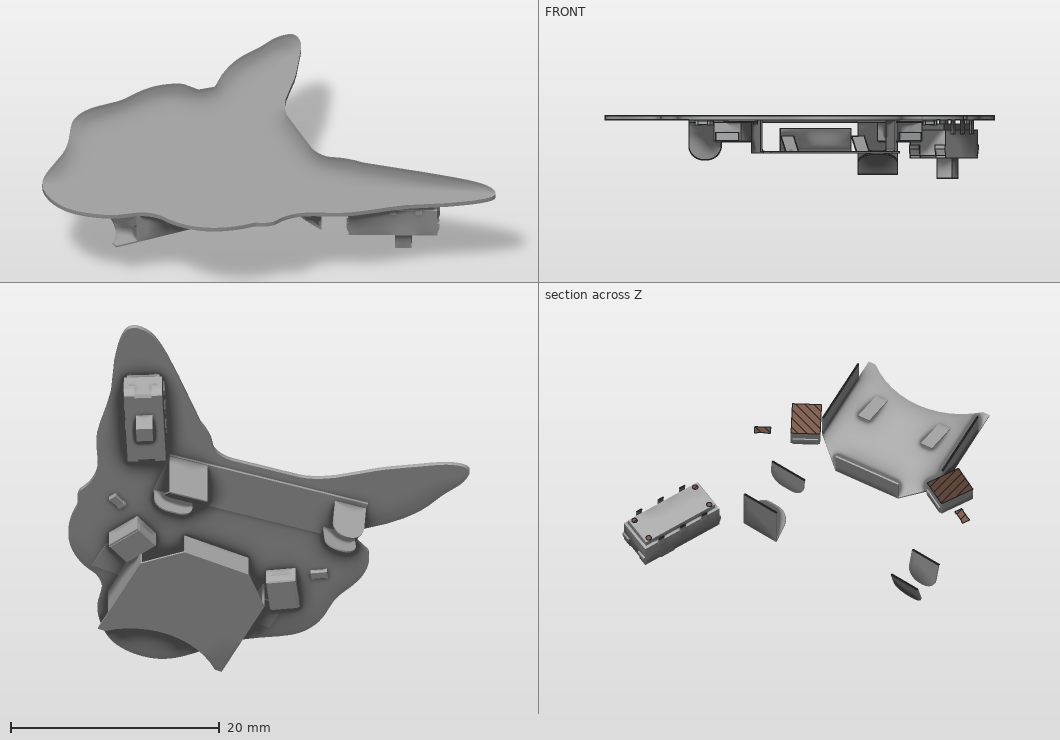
import cadquery as cq
import math

BOARD_THICKNESS = 0.4

BROW_Y = 6.75
BROW_LEFT = (-3.4, BROW_Y)
BROW_RIGHT = (3.35, BROW_Y)
BROW_TO_EAR = [(4.5, 6.95), (5.65, 7.7), (6.1, 8.45), (6.9, 9.5), (7.9, 10.4)]
RIGHT_EAR_INNER = [(10.05, 13.17), (13.05, 16.9), (14.95, 19.02), (16.25, 20.0), (17.72, 20.32)]
RIGHT_EAR_TIP = (18.45, 19.85)
RIGHT_EAR_OUTER = [(18.65, 18.9), (18.6, 17.48), (18.25, 15.15), (17.35, 11.7), (17.05, 8.17), (16.6, 4.88),
                   (15.7, 2.7), (15.3, 0.75), (15.55, -0.75), (16.0, -1.63)]
RIGHT_CHEEK_BUMP = [(16.0, -2.45), (15.6, -3.4)]
RIGHT_CHEEK = [(15.65, -5.6), (15.1, -7.93), (13.7, -9.88), (11.75, -11.2)]
RIGHT_JAW = [(10.9, -11.7), (10.0, -12.95), (9.67, -15.15), (8.7, -17.35), (6.83, -19.35)]
CHIN = [(5.0, -20.12), (3.37, -20.32), (1.45, -20.05), (-0.55, -18.85), (-2.5, -17.07), (-4.95, -15.2), (-7.8, -13.82)]
LEFT_CHEEK = [(-9.65, -12.8), (-11.3, -10.2), (-11.8, -7.1), (-12.48, -5.6), (-13.25, -3.37), (-13.2, -1.63),
              (-12.75, -0.45)]
NOTCH_BOTTOM = (-11.2, 0.53)
NOTCH_TOP = (-11.2, 2.2)
LEFT_EAR_OUTER = [(-12.95, 3.4), (-14.75, 5.05), (-16.18, 6.95), (-17.25, 9.05), (-18.37, 10.95), (-18.65, 12.1)]
LEFT_EAR_TIP = [(-18.45, 12.85), (-17.3, 13.05)]
LEFT_EAR_INNER = [(-15.75, 12.65), (-13.58, 11.63), (-10.33, 10.05), (-7.28, 8.15), (-5.12, 7.1)]

RESISTOR_LENGTH = 1.6
RESISTOR_WIDTH = 0.8
RESISTOR_HEIGHT = 0.5
RESISTOR_CAP_LENGTH = 0.3
RESISTOR_CAP_STEP = 0.05
LEFT_RESISTOR = ((-9.15, -4.47), -25)
RIGHT_RESISTOR = ((12.28, -1.6), 33)

LED_LENGTH = 3.5
LED_WIDTH = 2.85
LED_TOP = -0.25
LED_BOTTOM = -2.05
LED_TERMINAL_WIDTH = 2.45
LED_TERMINAL_TOP = -1.2
LED_TERMINAL_BOTTOM = -2.1
LED_TERMINAL_PROUD = 0.12
LED_TERMINAL_CHAMFER = 0.12
LED_PLACES = [((-6.18, -6.63), 65), ((9.6, -5.05), 123)]

HOLDER_CENTER = (2.28, -9.95)
HOLDER_TURN = 7
HOLDER_SHEET = 0.15
HOLDER_HALF_WIDTH = 6.6
HOLDER_FRONT = -6.35
HOLDER_BACK = 6.3
HOLDER_FLOOR = -3.17
HOLDER_CORNER_CUT = 3.17
SIDE_WALL_FRONT = -4.05
BACK_WALL_TOP = -0.8
BEND_RADIUS = 0.2
TAB_CENTER_Y = -0.1
TAB_WIDTH = 3.15
TAB_REACH = 2.85
FINGER_HORN_WIDTH = 0.75
FINGER_NOTCH_DEPTH = 2.25
SPRING_SPACING = 6.83
SPRING_WIDTH = 1.2
SPRING_ROOT = -3.3
SPRING_LENGTH = 3.85
SPRING_RISE = 1.45

CLIP_SHEET = 0.15
CLIP_BASE_THICKNESS = 0.25
CLIP_LEFT = -10.65
CLIP_RIGHT = 9.4
CLIP_FRONT = 0.6
CLIP_BACK = 5.7
LEAF_CORNER = 1.42
NARROW_LEAF_WIDTH = 3.15
WIDE_LEAF_WIDTH = 3.82
LEAF_ROOT_Z = -0.12
NARROW_LEAF_TIP_Z = -3.82
NARROW_LEAVES = [(5.1, 4.1), (1.42, 2.28)]
SHORT_LEAF_ROOT_Y = 0.85
SHORT_LEAF_TIP = (1.15, -2.95)
POST_Y = 5.53
POST_BOTTOM = -5.15
HOOK_TIP = (3.2, -3.25)

SWITCH_CENTER = (13.82, 11.3)
SWITCH_TURN = -21
SWITCH_WIDTH = 3.65
SWITCH_LENGTH = 8.55
SWITCH_TOP = -0.98
SWITCH_BOTTOM = -3.65
SWITCH_BASE_INSET = 0.3
SWITCH_BASE_TOP = -0.35
STANDOFF_RADIUS = 0.3
STANDOFF_X = 1.2
STANDOFF_Y = 3.5
LEAD_PITCH = 2.48
LEAD_WIDTH = 0.6
LEAD_THICKNESS = 0.15
LEAD_BOTTOM = -1.35
SNAP_WIDTH = 1.0
SNAP_TOP = -2.4
SNAP_EDGE = -2.8
SNAP_BOTTOM = -3.4
SNAP_PROUD = 0.2
END_CHAMFER = 0.25
SLIDER_SIZE = 1.6
SLIDER_BOTTOM = -5.6
SLIDER_OFFSET = 0.98


def block(x_range, y_range, z_range):
    """Axis-aligned box between the given limits."""
    size = [high - low for low, high in (x_range, y_range, z_range)]
    corner = (x_range[0], y_range[0], z_range[0])
    return cq.Workplane("XY").box(*size, centered=False).translate(corner)


def placed(body, center, turn):
    """Turn a body about Z, then move it to its centre on the board."""
    return body.rotate((0, 0, 0), (0, 0, 1), turn).translate((*center, 0))


def make_resistor(center, turn):
    half_length = RESISTOR_LENGTH / 2
    half_width = RESISTOR_WIDTH / 2
    middle_half_width = half_width - RESISTOR_CAP_STEP
    body = block(
        (-half_length, half_length),
        (-middle_half_width, middle_half_width),
        (RESISTOR_CAP_STEP - RESISTOR_HEIGHT, 0),
    )
    for cap_start in (-half_length, half_length - RESISTOR_CAP_LENGTH):
        cap_x = (cap_start, cap_start + RESISTOR_CAP_LENGTH)
        body = body.union(block(cap_x, (-half_width, half_width), (-RESISTOR_HEIGHT, 0)))
    return placed(body, center, turn)


def make_board():
    outline = (
        cq.Workplane("XY")
        .moveTo(*BROW_LEFT)
        .lineTo(*BROW_RIGHT)
        .spline(BROW_TO_EAR, includeCurrent=True)
        .spline(RIGHT_EAR_INNER, includeCurrent=True)
        .spline([RIGHT_EAR_TIP, *RIGHT_EAR_OUTER], includeCurrent=True)
        .spline(RIGHT_CHEEK_BUMP, includeCurrent=True)
        .spline(RIGHT_CHEEK, includeCurrent=True)
        .spline([*RIGHT_JAW, *CHIN, *LEFT_CHEEK], includeCurrent=True)
        .lineTo(*NOTCH_BOTTOM)
        .lineTo(*NOTCH_TOP)
        .spline(LEFT_EAR_OUTER, includeCurrent=True)
        .spline([*LEFT_EAR_TIP, *LEFT_EAR_INNER, BROW_LEFT], includeCurrent=True)
        .close()
    )
    return outline.extrude(BOARD_THICKNESS).union(make_resistor(*LEFT_RESISTOR))


def make_led(center, turn):
    half_length = LED_LENGTH / 2
    half_width = LED_WIDTH / 2
    half_terminal = LED_TERMINAL_WIDTH / 2
    terminal_reach = half_length + LED_TERMINAL_PROUD
    body = block((-half_length, half_length), (-half_width, half_width), (LED_BOTTOM, LED_TOP))
    terminals = block(
        (-terminal_reach, terminal_reach),
        (-half_terminal, half_terminal),
        (LED_TERMINAL_BOTTOM, LED_TERMINAL_TOP),
    )
    terminals = terminals.edges("|Y and <Z").chamfer(LED_TERMINAL_CHAMFER)
    return placed(body.union(terminals), center, turn)


def bend_fillet(length):
    """Concave filler along Y for an inside corner that opens toward +X and +Z."""
    radius = BEND_RADIUS
    mid = radius * (1 - math.sqrt(0.5))
    return (
        cq.Workplane("XZ", origin=(0, length / 2, 0))
        .lineTo(radius, 0)
        .threePointArc((mid, mid), (0, radius))
        .close()
        .extrude(length)
    )


def make_floor_bends():
    """Rounded inside corners where the three walls rise from the floor."""
    floor_top = HOLDER_FLOOR + HOLDER_SHEET
    wall_back = HOLDER_BACK - HOLDER_CORNER_CUT
    wall_middle = (SIDE_WALL_FRONT + wall_back) / 2
    left = bend_fillet(wall_back - SIDE_WALL_FRONT)
    left = left.translate((HOLDER_SHEET - HOLDER_HALF_WIDTH, wall_middle, floor_top))
    back = bend_fillet(2 * (HOLDER_HALF_WIDTH - HOLDER_CORNER_CUT)).rotate((0, 0, 0), (0, 0, 1), -90)
    back = back.translate((0, HOLDER_BACK - HOLDER_SHEET, floor_top))
    return left.union(left.mirror("YZ")).union(back)


def make_holder_floor():
    """Floor with cut back corners and a curved finger notch between two front horns."""
    side = HOLDER_HALF_WIDTH
    notch_half_width = side - FINGER_HORN_WIDTH
    corner_x = side - HOLDER_CORNER_CUT
    corner_y = HOLDER_BACK - HOLDER_CORNER_CUT
    return (
        cq.Workplane("XY", origin=(0, 0, HOLDER_FLOOR))
        .moveTo(-side, HOLDER_FRONT)
        .lineTo(-notch_half_width, HOLDER_FRONT)
        .threePointArc((0, HOLDER_FRONT + FINGER_NOTCH_DEPTH), (notch_half_width, HOLDER_FRONT))
        .lineTo(side, HOLDER_FRONT)
        .lineTo(side, corner_y)
        .lineTo(corner_x, HOLDER_BACK)
        .lineTo(-corner_x, HOLDER_BACK)
        .lineTo(-side, corner_y)
        .close()
        .extrude(HOLDER_SHEET)
    )


def make_holder_side():
    """Right wall with its outward solder tab, rounded where the tab bends away."""
    side = HOLDER_HALF_WIDTH
    inner = side - HOLDER_SHEET
    wall_back = HOLDER_BACK - HOLDER_CORNER_CUT
    wall = block((inner, side), (SIDE_WALL_FRONT, wall_back), (HOLDER_FLOOR, 0))
    tab_y = (TAB_CENTER_Y - TAB_WIDTH / 2, TAB_CENTER_Y + TAB_WIDTH / 2)
    tab = block((side, side + TAB_REACH), tab_y, (-HOLDER_SHEET, 0))
    tab_bend = bend_fillet(TAB_WIDTH).rotate((0, 0, 0), (0, 1, 0), 90)
    return wall.union(tab).union(tab_bend.translate((side, TAB_CENTER_Y, -HOLDER_SHEET)))


def make_spring(center_x):
    """Sloped contact finger rising from the floor toward the back."""
    floor_top = HOLDER_FLOOR + HOLDER_SHEET
    tip = SPRING_ROOT + SPRING_LENGTH
    profile = [
        (SPRING_ROOT, floor_top),
        (tip, floor_top + SPRING_RISE),
        (tip, floor_top + SPRING_RISE - HOLDER_SHEET),
        (SPRING_ROOT, floor_top - HOLDER_SHEET),
    ]
    start = center_x - SPRING_WIDTH / 2
    return cq.Workplane("YZ", origin=(start, 0, 0)).polyline(profile).close().extrude(SPRING_WIDTH)


def make_holder():
    back_half = HOLDER_HALF_WIDTH - HOLDER_CORNER_CUT
    side = make_holder_side()
    back_y = (HOLDER_BACK - HOLDER_SHEET, HOLDER_BACK)
    back = block((-back_half, back_half), back_y, (HOLDER_FLOOR, BACK_WALL_TOP))
    holder = make_holder_floor().union(side).union(side.mirror("YZ")).union(back)
    holder = holder.union(make_floor_bends())
    for center_x in (-SPRING_SPACING / 2, SPRING_SPACING / 2):
        holder = holder.union(make_spring(center_x))
    return placed(holder, HOLDER_CENTER, HOLDER_TURN)


def make_leaf(center_x, width, root, tip):
    """Flat strip from root to tip, both given as (y, z), with rounded corners at the tip."""
    run = tip[0] - root[0]
    rise = tip[1] - root[1]
    length = math.hypot(run, rise)
    plane = cq.Plane(origin=(center_x, *root), xDir=(1, 0, 0), normal=(0, -rise, run))
    strip = cq.Workplane(plane).rect(width, 2 * length).extrude(CLIP_SHEET / 2, both=True)
    strip = strip.edges(cq.selectors.ParallelDirSelector(plane.zDir)).fillet(LEAF_CORNER)
    spare_half = cq.Workplane(plane).center(0, -length).rect(2 * width, 2 * length)
    return strip.cut(spare_half.extrude(CLIP_SHEET, both=True))


def make_clip():
    clip = block((CLIP_LEFT, CLIP_RIGHT), (CLIP_FRONT, CLIP_BACK), (-CLIP_BASE_THICKNESS, 0))
    narrow_x = CLIP_LEFT + NARROW_LEAF_WIDTH / 2
    wide_x = CLIP_RIGHT - WIDE_LEAF_WIDTH / 2
    for root_y, tip_y in NARROW_LEAVES:
        leaf = make_leaf(narrow_x, NARROW_LEAF_WIDTH, (root_y, LEAF_ROOT_Z), (tip_y, NARROW_LEAF_TIP_Z))
        clip = clip.union(leaf)
    clip = clip.union(make_leaf(wide_x, WIDE_LEAF_WIDTH, (SHORT_LEAF_ROOT_Y, LEAF_ROOT_Z), SHORT_LEAF_TIP))
    post = block(
        (CLIP_RIGHT - WIDE_LEAF_WIDTH, CLIP_RIGHT),
        (POST_Y - CLIP_SHEET / 2, POST_Y + CLIP_SHEET / 2),
        (POST_BOTTOM - CLIP_SHEET / 2, 0),
    )
    hook = make_leaf(wide_x, WIDE_LEAF_WIDTH, (POST_Y, POST_BOTTOM), HOOK_TIP)
    return clip.union(post).union(hook)


def make_snap():
    """Wedge on the +Y end of the switch, flat above and sloped below."""
    end = SWITCH_LENGTH / 2
    profile = [
        (end, SNAP_TOP),
        (end + SNAP_PROUD, SNAP_TOP),
        (end + SNAP_PROUD, SNAP_EDGE),
        (end, SNAP_BOTTOM),
    ]
    start = SWITCH_WIDTH / 2 - SNAP_WIDTH
    return cq.Workplane("YZ", origin=(start, 0, 0)).polyline(profile).close().extrude(SNAP_WIDTH)


def make_end_chamfer():
    """Wedge that bevels the lower +Y edge of the switch between its two snaps."""
    end = SWITCH_LENGTH / 2
    half_width = SWITCH_WIDTH / 2 - SNAP_WIDTH
    profile = [
        (end, SWITCH_BOTTOM),
        (end, SWITCH_BOTTOM + END_CHAMFER),
        (end - END_CHAMFER, SWITCH_BOTTOM),
    ]
    return cq.Workplane("YZ").polyline(profile).close().extrude(half_width, both=True)


def make_switch():
    half_width = SWITCH_WIDTH / 2
    half_length = SWITCH_LENGTH / 2
    base_half_width = half_width - SWITCH_BASE_INSET
    base_half_length = half_length - SWITCH_BASE_INSET
    half_slider = SLIDER_SIZE / 2
    switch = block((-half_width, half_width), (-half_length, half_length), (SWITCH_BOTTOM, SWITCH_TOP))
    base = block(
        (-base_half_width, base_half_width),
        (-base_half_length, base_half_length),
        (SWITCH_TOP, SWITCH_BASE_TOP),
    )
    slider = block(
        (-half_slider, half_slider),
        (SLIDER_OFFSET - half_slider, SLIDER_OFFSET + half_slider),
        (SLIDER_BOTTOM, SWITCH_BOTTOM),
    )
    switch = switch.union(base).union(slider)
    standoffs = (
        cq.Workplane("XY")
        .rect(2 * STANDOFF_X, 2 * STANDOFF_Y, forConstruction=True)
        .vertices()
        .circle(STANDOFF_RADIUS)
        .extrude(SWITCH_BASE_TOP)
    )
    switch = switch.union(standoffs)
    for lead_y in (-LEAD_PITCH, 0, LEAD_PITCH):
        lead_y_range = (lead_y - LEAD_WIDTH / 2, lead_y + LEAD_WIDTH / 2)
        lead = block((half_width, half_width + LEAD_THICKNESS), lead_y_range, (LEAD_BOTTOM, 0))
        switch = switch.union(lead).union(lead.mirror("YZ"))
    end_chamfer = make_end_chamfer()
    switch = switch.cut(end_chamfer).cut(end_chamfer.mirror("XZ"))
    snap = make_snap()
    for end_snap in (snap, snap.mirror("XZ")):
        switch = switch.union(end_snap).union(end_snap.mirror("YZ"))
    return placed(switch, SWITCH_CENTER, SWITCH_TURN)


board = make_board()
resistor = make_resistor(*RIGHT_RESISTOR)
leds = [make_led(center, turn) for center, turn in LED_PLACES]
holder = make_holder()
clip = make_clip()
switch = make_switch()

result = cq.Compound.makeCompound(
    [board.val(), resistor.val(), *[led.val() for led in leds], holder.val(), clip.val(), switch.val()]
)